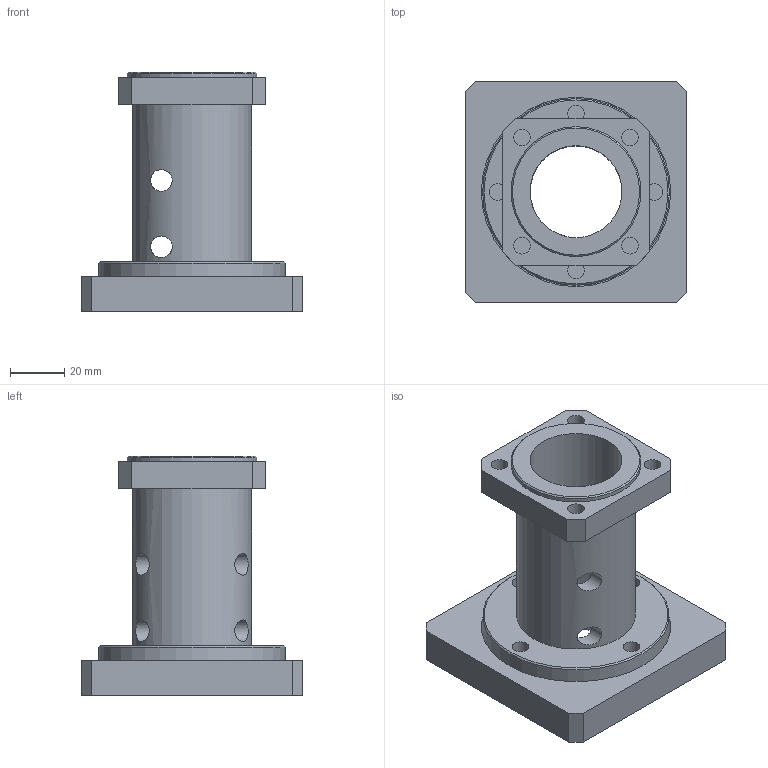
import cadquery as cq

BASE_SIZE = 82.0
BASE_HEIGHT = 13.0
BASE_CORNER_CHAMFER = 3.8

STEP_DIAMETER = 69.0
STEP_HEIGHT = 5.5

RECESS_DIAMETER = 70.0
RECESS_DEPTH = 6.5

COLUMN_DIAMETER = 44.0
COLUMN_HEIGHT = 58.0

FLANGE_SIZE = 54.4
FLANGE_HEIGHT = 10.0
FLANGE_CORNER_CHAMFER = 5.0

SPIGOT_DIAMETER = 48.0
SPIGOT_HEIGHT = 2.0

RIM_CHAMFER = 0.5
BORE_DIAMETER = 34.0

BOLT_HOLE_DIAMETER = 6.2
BASE_BOLT_RADIUS = 29.0
FLANGE_BOLT_SPACING = 40.0

CROSS_HOLE_DIAMETER = 8.0
CROSS_HOLE_X = -11.3
CROSS_HOLE_LEVELS = (24.0, 48.5)

RECESS_FLOOR = BASE_HEIGHT - RECESS_DEPTH
STEP_TOP = BASE_HEIGHT + STEP_HEIGHT
FLANGE_BOTTOM = STEP_TOP + COLUMN_HEIGHT
FLANGE_TOP = FLANGE_BOTTOM + FLANGE_HEIGHT
TOTAL_HEIGHT = FLANGE_TOP + SPIGOT_HEIGHT


def square_plate(size, height, corner_chamfer, bottom):
    """Square plate centred on Z, with its four upright edges chamfered."""
    plate = cq.Workplane("XY").workplane(offset=bottom).rect(size, size).extrude(height)
    return plate.edges("|Z").chamfer(corner_chamfer)


def cylinder(diameter, height, bottom):
    """Upright cylinder centred on Z."""
    return cq.Workplane("XY").workplane(offset=bottom).circle(diameter / 2).extrude(height)


def rimmed_disc(diameter, height, bottom):
    """Upright disc with a small chamfer on its top rim."""
    return cylinder(diameter, height, bottom).faces(">Z").edges().chamfer(RIM_CHAMFER)


def body():
    """Outer shape, stacked from the base upwards."""
    base = square_plate(BASE_SIZE, BASE_HEIGHT, BASE_CORNER_CHAMFER, 0)
    recess = cylinder(RECESS_DIAMETER, RECESS_DEPTH, RECESS_FLOOR)
    step = rimmed_disc(STEP_DIAMETER, STEP_TOP - RECESS_FLOOR, RECESS_FLOOR)
    column = cylinder(COLUMN_DIAMETER, COLUMN_HEIGHT, STEP_TOP)
    flange = square_plate(FLANGE_SIZE, FLANGE_HEIGHT, FLANGE_CORNER_CHAMFER, FLANGE_BOTTOM)
    spigot = rimmed_disc(SPIGOT_DIAMETER, SPIGOT_HEIGHT, FLANGE_TOP)
    return base.cut(recess).union(step).union(column).union(flange).union(spigot)


def base_bolt_holes():
    """Four blind holes on the X and Y axes, sunk through the thickness of the step."""
    return (
        cq.Workplane("XY")
        .workplane(offset=STEP_TOP)
        .polarArray(BASE_BOLT_RADIUS, 0, 360, 4)
        .circle(BOLT_HOLE_DIAMETER / 2)
        .extrude(RECESS_FLOOR - STEP_TOP)
    )


def flange_bolt_holes():
    """Four through holes, one near each corner of the flange."""
    return (
        cq.Workplane("XY")
        .workplane(offset=FLANGE_BOTTOM)
        .rect(FLANGE_BOLT_SPACING, FLANGE_BOLT_SPACING, forConstruction=True)
        .vertices()
        .circle(BOLT_HOLE_DIAMETER / 2)
        .extrude(FLANGE_HEIGHT)
    )


def cross_holes():
    """Two holes, one above the other, right through the column beside its axis."""
    centres = [(CROSS_HOLE_X, level) for level in CROSS_HOLE_LEVELS]
    return (
        cq.Workplane("XZ")
        .pushPoints(centres)
        .circle(CROSS_HOLE_DIAMETER / 2)
        .extrude(COLUMN_DIAMETER / 2, both=True)
    )


bore = cylinder(BORE_DIAMETER, TOTAL_HEIGHT, 0)
result = body().cut(bore).cut(base_bolt_holes()).cut(flange_bolt_holes()).cut(cross_holes())